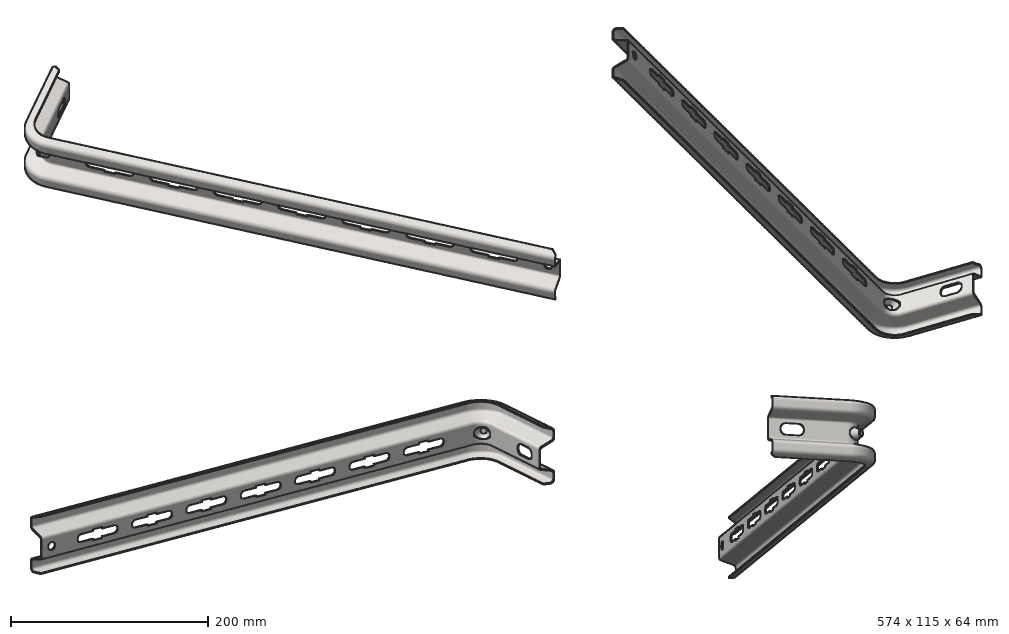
import cadquery as cq
import math

LENGTH = 574.0
WIDTH = 115.0
HEIGHT = 64.0

DEPTH = 19.0
SHEET = 1.5
WEB_HALF = 11.5
LOBE_ANGLE = 17.0
LEG_ANGLE = 15.0
LEG_DEPTH = 10.0
WEB_FOLD_RADIUS = 3.0
LOBE_FOLD_RADIUS = 4.0

BEND_RADIUS = 31.5

LEG_CLIP = 6.0
LEG_CLIP_HEIGHT = 7.0

SLOT_COUNT = 7
SLOT_PITCH = 68.5
FIRST_SLOT_X = 93.5
SLOT_LENGTH = 50.5
SLOT_HEIGHT = 8.5
SLOT_KEY_LENGTH = 11.5
SLOT_KEY_HEIGHT = 12.0
HOLE_DIAMETER = 8.5
HOLE_TO_END = 12.5

SHORT_SLOT_LENGTH = 24.5
SHORT_SLOT_HEIGHT = 12.0
SHORT_SLOT_TO_END = 25.0

DIMPLE_BASE_DIAMETER = 17.0
DIMPLE_TIP_DIAMETER = 6.5
DIMPLE_BASE_DISTANCE = 11.0
DIMPLE_TIP_DISTANCE = 20.5


def sheet_midline():
    """Corners of the sheet midline as (depth, z) with the fold radius at each corner."""
    half_sheet = SHEET / 2
    front = half_sheet
    back = DEPTH - half_sheet
    lobe_slope = math.tan(math.radians(LOBE_ANGLE))
    leg_slope = math.tan(math.radians(LEG_ANGLE))
    edge_z = HEIGHT / 2 - half_sheet * math.cos(math.radians(LEG_ANGLE))
    edge_depth = LEG_DEPTH + half_sheet * math.sin(math.radians(LEG_ANGLE))
    upper = [
        (back, WEB_HALF, WEB_FOLD_RADIUS),
        (front, WEB_HALF + (back - front) * lobe_slope, LOBE_FOLD_RADIUS),
        (front, edge_z - (edge_depth - front) * leg_slope, LOBE_FOLD_RADIUS),
        (edge_depth, edge_z, 0),
    ]
    lower = [(depth, -z, radius) for depth, z, radius in reversed(upper)]
    return lower + upper


def unit(start, end):
    """Unit direction from one (depth, z) point to another."""
    span = math.dist(start, end)
    return ((end[0] - start[0]) / span, (end[1] - start[1]) / span)


def sheet_side(corners, offset):
    """Segments of one sheet side, `offset` to the left of the midline.

    Each corner gives (start of arc, end of arc, signed arc radius); free ends have radius 0.
    """
    points = [corner[:2] for corner in corners]
    folds = []
    for i, (x, z, radius) in enumerate(corners):
        before = unit(points[max(i - 1, 0)], points[max(i, 1)])
        after = unit(points[min(i, len(points) - 2)], points[min(i + 1, len(points) - 1)])
        turn = before[0] * after[1] - before[1] * after[0]
        cosine = before[0] * after[0] + before[1] * after[1]
        mitre = offset / (1 + cosine)
        corner_x = x - mitre * (before[1] + after[1])
        corner_z = z + mitre * (before[0] + after[0])
        side_radius = radius - offset * math.copysign(1, turn) if radius else 0
        reach = side_radius * abs(turn) / (1 + cosine)
        start = (corner_x - reach * before[0], corner_z - reach * before[1])
        end = (corner_x + reach * after[0], corner_z + reach * after[1])
        folds.append((start, end, math.copysign(side_radius, -turn)))
    return folds


def draw_side(section, folds):
    """Continue `section` along one sheet side, straight between folds and round in them."""
    for start, end, radius in folds:
        section = section.lineTo(*start)
        if radius:
            section = section.radiusArc(end, radius)
    return section


def sheet_section(plane, origin):
    """Closed sheet outline with depth along the local X and height along the local Y."""
    corners = sheet_midline()
    front_side = sheet_side(corners, SHEET / 2)
    back_side = sheet_side(corners[::-1], SHEET / 2)
    section = cq.Workplane(plane, origin=origin).moveTo(*front_side[0][0])
    section = draw_side(section, front_side[1:])
    return draw_side(section, back_side).close()


def bracket_body():
    """Both arms and the quarter-turn bend that joins them."""
    long_arm = sheet_section("YZ", (BEND_RADIUS, 0, 0)).extrude(LENGTH - BEND_RADIUS)
    short_arm = sheet_section("XZ", (0, BEND_RADIUS, 0)).extrude(BEND_RADIUS - WIDTH)
    bend = sheet_section("XZ", (0, BEND_RADIUS, 0)).revolve(90, (BEND_RADIUS, 0), (BEND_RADIUS, 1))
    return long_arm.union(bend).union(short_arm)


def dimple_cone(distance):
    """Flat-tipped cone on the bisector of the bend, its base `distance` out from the bend axis."""
    outward = cq.Vector(-1, -1, 0).normalized()
    base = cq.Vector(BEND_RADIUS, BEND_RADIUS, 0) + outward * distance
    height = DIMPLE_TIP_DISTANCE - DIMPLE_BASE_DISTANCE
    cone = cq.Solid.makeCone(DIMPLE_BASE_DIAMETER / 2, DIMPLE_TIP_DIAMETER / 2, height, base, outward)
    return cq.Workplane(cone)


def dimple():
    """Outer cone of the dimple, trimmed flush with the back of the bent web."""
    bend_axis = cq.Workplane(origin=(BEND_RADIUS, BEND_RADIUS, 0))
    behind_web = bend_axis.circle(BEND_RADIUS - DEPTH).extrude(DIMPLE_BASE_DIAMETER, both=True)
    return dimple_cone(DIMPLE_BASE_DISTANCE).cut(behind_web)


def long_arm_openings():
    """Row of slots, each widened by a key in its middle, and the hole near the free end."""
    middle = FIRST_SLOT_X + SLOT_PITCH * (SLOT_COUNT - 1) / 2
    row = cq.Workplane("XZ").center(middle, 0).rarray(SLOT_PITCH, 6, SLOT_COUNT, 1)
    slots = row.slot2D(SLOT_LENGTH, SLOT_HEIGHT).extrude(-DEPTH)
    keys = row.rect(SLOT_KEY_LENGTH, SLOT_KEY_HEIGHT).extrude(-DEPTH)
    hole = cq.Workplane("XZ").center(LENGTH - HOLE_TO_END, 0).circle(HOLE_DIAMETER / 2).extrude(-DEPTH)
    return slots.union(keys).union(hole)


def short_arm_opening():
    face = cq.Workplane("YZ").center(WIDTH - SHORT_SLOT_TO_END, 0)
    return face.slot2D(SHORT_SLOT_LENGTH, SHORT_SLOT_HEIGHT).extrude(DEPTH)


def leg_clips():
    """Triangular prisms over the free leg corners at the ends of both arms."""
    leg_edge = LEG_DEPTH + SHEET * math.sin(math.radians(LEG_ANGLE))
    long_end = [(LENGTH, leg_edge), (LENGTH - LEG_CLIP, leg_edge), (LENGTH, leg_edge - LEG_CLIP)]
    short_end = [(y, x - LENGTH + WIDTH) for x, y in long_end]
    clips = cq.Workplane()
    for corner in (long_end, short_end):
        prism = cq.Workplane(origin=(0, 0, HEIGHT / 2)).polyline(corner).close().extrude(-LEG_CLIP_HEIGHT)
        clips = clips.add(prism).add(prism.mirror("XY"))
    return clips.combine()


bracket = bracket_body().union(dimple())
bracket = bracket.cut(dimple_cone(DIMPLE_BASE_DISTANCE - SHEET))
bracket = bracket.cut(long_arm_openings()).cut(short_arm_opening())
result = bracket.cut(leg_clips())